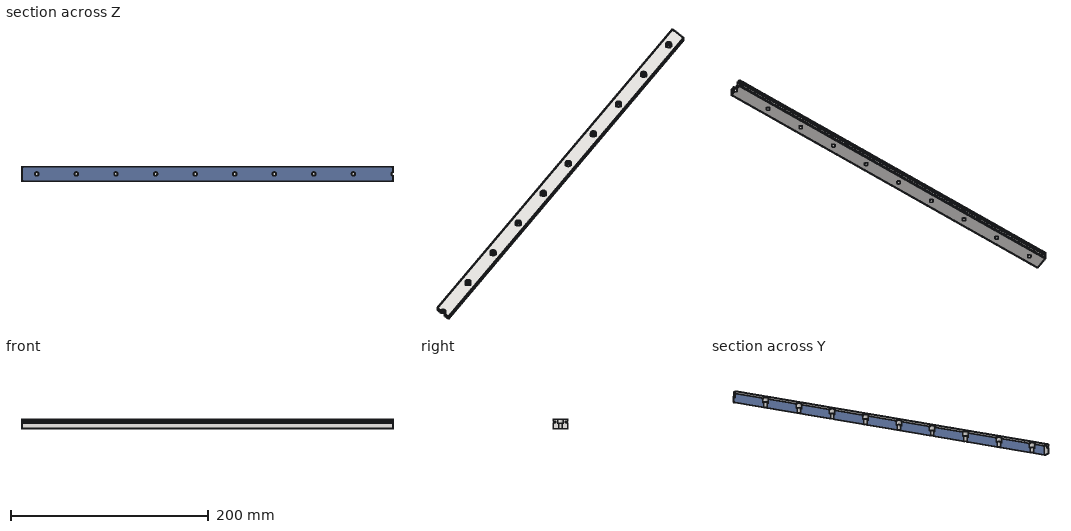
import cadquery as cq

length = 375.0
width = 15.0
height = 10.0
top_chamfer = 0.5
bottom_chamfer = 0.8

groove_radius = 1.5
groove_offset = 0.6
groove_height = 6.85

relief_width = 1.0
relief_depth = 2.2

first_hole = 15.0
hole_pitch = 40.0
hole_count = 10
hole_diameter = 3.5
counterbore_diameter = 6.0
counterbore_depth = 4.5


def rail_body():
    """Bar with chamfered long edges, one end at X = 0 and resting on Z = 0."""
    bar = cq.Workplane("XY").box(length, width, height, centered=(False, True, False))
    bar = bar.edges("|X and >Z").chamfer(top_chamfer)
    return bar.edges("|X and <Z").chamfer(bottom_chamfer)


def side_pair(distance):
    """Points of the YZ section at groove height, the same distance either side of the middle."""
    return [(-distance, groove_height), (distance, groove_height)]


def side_grooves():
    """Full-length cutters for both sides: a round ball track and its relief slot."""
    track_points = side_pair(width / 2 + groove_offset)
    tracks = cq.Workplane("YZ").pushPoints(track_points).circle(groove_radius).extrude(length)
    relief_points = side_pair(width / 2)
    reliefs = (
        cq.Workplane("YZ")
        .pushPoints(relief_points)
        .rect(2 * relief_depth, relief_width)
        .extrude(length)
    )
    return tracks.union(reliefs)


def mounting_holes():
    """Stepped hole cutters; the last one is centred on the far end and leaves a half hole."""
    centres = [(first_hole + i * hole_pitch, 0) for i in range(hole_count)]
    through = cq.Workplane("XY").pushPoints(centres).circle(hole_diameter / 2).extrude(height)
    counterbores = (
        cq.Workplane("XY")
        .workplane(offset=height - counterbore_depth)
        .pushPoints(centres)
        .circle(counterbore_diameter / 2)
        .extrude(counterbore_depth)
    )
    return through.union(counterbores)


result = rail_body().cut(side_grooves()).cut(mounting_holes())